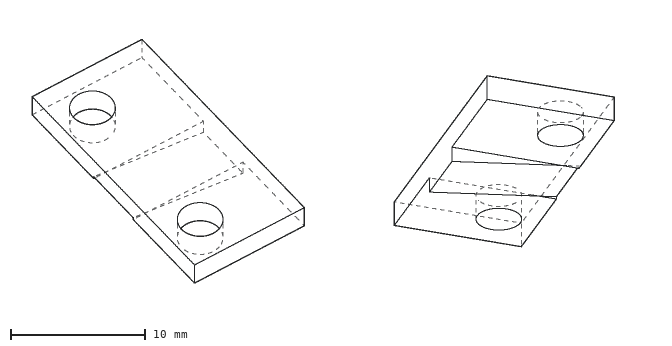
import cadquery as cq
import math

length = 20.82
width = 10.0
total_height = 3.2
plate_thickness = 2.0

hole_diameter = 3.4
hole_spacing = 13.8
hole_from_front = 3.0

pad_width = 5.05
slope_angle = 8.0
pad_drop = total_height - plate_thickness
slope_rise = width * math.tan(math.radians(slope_angle))

front_y = -width / 2
back_y = width / 2
slope_front_z = slope_rise - pad_drop
slope_run_out_y = back_y - width * pad_drop / slope_rise


def underside_prism(points):
    """Extrude a YZ triangle across the pad width, centred on X."""
    return cq.Workplane("YZ").polyline(points).close().extrude(pad_width / 2, both=True)


plate = cq.Workplane("XY").box(length, width, plate_thickness, centered=(True, True, False))

wedge = underside_prism([(slope_run_out_y, 0), (back_y, 0), (back_y, -pad_drop)])

recess = underside_prism([(slope_run_out_y, 0), (front_y, 0), (front_y, slope_front_z)])

hole_y = front_y + hole_from_front
holes = (
    cq.Workplane("XY")
    .pushPoints([(side * hole_spacing / 2, hole_y) for side in (-1, 1)])
    .circle(hole_diameter / 2)
    .extrude(plate_thickness)
)

result = plate.union(wedge).cut(recess).cut(holes)